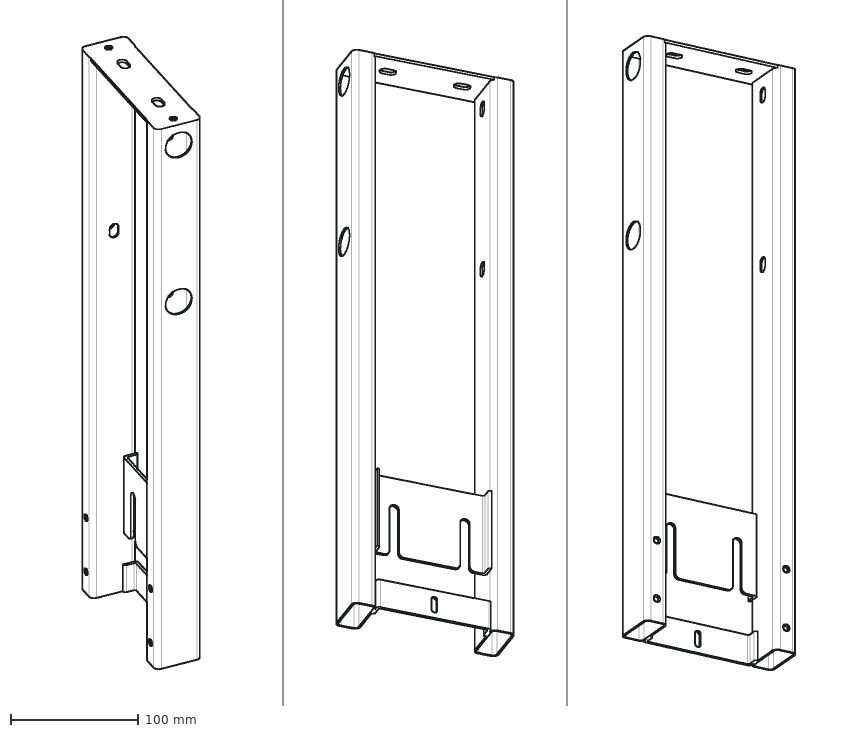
import cadquery as cq

FRAME_WIDTH = 137.0
FRAME_DEPTH = 40.0
FRAME_HEIGHT = 500.0

TUBE_WIDTH = 20.0
TUBE_WALL = 1.5
TUBE_CORNER_RADIUS = 4.5
TUBE_CENTER_X = (FRAME_WIDTH - TUBE_WIDTH) / 2
GAP = FRAME_WIDTH - 2 * TUBE_WIDTH

SIDE_SLOT_HEIGHTS = (336.0, 481.0)
SIDE_SLOT_LENGTH = 12.5
SLOT_WIDTH = 8.0
ACCESS_DIAMETER = 23.0

SCREW_HOLE_DIAMETER = 4.0
COUNTERSINK_DIAMETER = 6.0
COUNTERSINK_ANGLE = 90
FRONT_HOLE_HEIGHTS = (20.0, 70.0)

PLATE_THICKNESS = 2.5
PLATE_DEPTH = 39.0
PLATE_SLOT_X = 31.5
PLATE_SLOT_LENGTH = 13.5

SHEET = 2.5
OUTER_BEND_RADIUS = 2.5
INNER_BEND_RADIUS = 1.5
FLANGE_TIP_RADIUS = 2.0
BRACKET_FRONT_Y = 7.5
BRACKET_BACK_Y = FRAME_DEPTH / 2
BRACKET_DEPTH = BRACKET_BACK_Y - BRACKET_FRONT_Y
BRACKET_CENTER_Y = (BRACKET_BACK_Y + BRACKET_FRONT_Y) / 2

LOWER_TOP_Z = 25.0
LOWER_SLOT_WIDTH = 5.0
LOWER_SLOT_LENGTH = 14.0
LOWER_SLOT_Z = 12.0

UPPER_BOTTOM_Z = 55.0
UPPER_TOP_Z = 125.0
UPPER_SLOT_X = 30.0
UPPER_SLOT_TOP_Z = 101.0
UPPER_SLOT_MOUTH_RADIUS = 4.0


def upright(side):
    """Hollow tube; side is -1 for the -X upright and +1 for the +X upright."""
    center_x = side * TUBE_CENTER_X
    outer = (
        cq.Workplane("XY")
        .center(center_x, 0)
        .rect(TUBE_WIDTH, FRAME_DEPTH)
        .extrude(FRAME_HEIGHT)
        .edges("|Z")
        .fillet(TUBE_CORNER_RADIUS)
    )
    bore = (
        cq.Workplane("XY")
        .center(center_x, 0)
        .rect(TUBE_WIDTH - 2 * TUBE_WALL, FRAME_DEPTH - 2 * TUBE_WALL)
        .extrude(FRAME_HEIGHT)
        .edges("|Z")
        .fillet(TUBE_CORNER_RADIUS - TUBE_WALL)
    )
    side_points = [(0, z) for z in SIDE_SLOT_HEIGHTS]
    access_holes = (
        cq.Workplane("YZ", origin=(center_x, 0, 0))
        .pushPoints(side_points)
        .circle(ACCESS_DIAMETER / 2)
        .extrude(side * TUBE_WIDTH / 2)
    )
    slots = (
        cq.Workplane("YZ", origin=(center_x, 0, 0))
        .pushPoints(side_points)
        .slot2D(SIDE_SLOT_LENGTH, SLOT_WIDTH, 90)
        .extrude(-side * TUBE_WIDTH / 2)
    )
    return (
        outer.cut(bore)
        .cut(access_holes)
        .cut(slots)
        .faces("<Y")
        .workplane(origin=(0, -FRAME_DEPTH / 2, 0))
        .pushPoints([(center_x, z) for z in FRONT_HOLE_HEIGHTS])
        .cskHole(SCREW_HOLE_DIAMETER, COUNTERSINK_DIAMETER, COUNTERSINK_ANGLE, depth=FRAME_DEPTH / 2)
    )


def top_plate():
    """Plate closing the tube ends flush with the top of the frame."""
    return (
        cq.Workplane("XY", origin=(0, 0, FRAME_HEIGHT - PLATE_THICKNESS))
        .rect(FRAME_WIDTH, PLATE_DEPTH)
        .extrude(PLATE_THICKNESS)
        .edges("|Z")
        .fillet(TUBE_CORNER_RADIUS)
        .faces(">Z")
        .workplane(origin=(0, 0, FRAME_HEIGHT))
        .pushPoints([(-PLATE_SLOT_X, 0), (PLATE_SLOT_X, 0)])
        .slot2D(PLATE_SLOT_LENGTH, SLOT_WIDTH)
        .cutThruAll()
        .pushPoints([(-TUBE_CENTER_X, 0), (TUBE_CENTER_X, 0)])
        .cskHole(SCREW_HOLE_DIAMETER, COUNTERSINK_DIAMETER, COUNTERSINK_ANGLE)
    )


def folded_channel(bottom_z, top_z, web_side, tip_side):
    """U-shaped sheet spanning the gap.

    web_side and tip_side are opposite Y face selectors (">Y" or "<Y"): the web lies on the first
    and the flanges end on the second, with their inner corners rounded.
    """
    inward = -1 if web_side == ">Y" else 1
    blank = (
        cq.Workplane("XY", origin=(0, BRACKET_CENTER_Y, bottom_z))
        .rect(GAP, BRACKET_DEPTH)
        .extrude(top_z - bottom_z)
        .faces(web_side)
        .edges("|Z")
        .fillet(OUTER_BEND_RADIUS)
    )
    hollow = (
        cq.Workplane("XY", origin=(0, BRACKET_CENTER_Y + inward * SHEET, bottom_z))
        .rect(GAP - 2 * SHEET, BRACKET_DEPTH)
        .extrude(top_z - bottom_z)
        .faces(web_side)
        .edges("|Z")
        .fillet(INNER_BEND_RADIUS)
    )
    inner_tip_edges = cq.selectors.BoxSelector(
        (-GAP / 2 + SHEET / 2, -FRAME_DEPTH, bottom_z),
        (GAP / 2 - SHEET / 2, FRAME_DEPTH, top_z),
    )
    return blank.cut(hollow).faces(tip_side).edges("|Z").edges(inner_tip_edges).fillet(FLANGE_TIP_RADIUS)


def lower_bracket():
    """Channel with its web at the back and one upright slot."""
    slot = (
        cq.Workplane("XZ")
        .center(0, LOWER_SLOT_Z)
        .slot2D(LOWER_SLOT_LENGTH, LOWER_SLOT_WIDTH, 90)
        .extrude(-FRAME_DEPTH)
    )
    return folded_channel(0, LOWER_TOP_Z, ">Y", "<Y").cut(slot)


def hook_slot(center_x):
    """Slot with a round top, open at the lower edge with flared corners."""
    half = SLOT_WIDTH / 2
    flare = UPPER_SLOT_MOUTH_RADIUS
    shoulder_z = UPPER_SLOT_TOP_Z - half
    flare_z = UPPER_BOTTOM_Z + flare
    return (
        cq.Workplane("XZ", origin=(center_x, 0, 0))
        .moveTo(-half - flare, UPPER_BOTTOM_Z)
        .radiusArc((-half, flare_z), -flare)
        .lineTo(-half, shoulder_z)
        .threePointArc((0, UPPER_SLOT_TOP_Z), (half, shoulder_z))
        .lineTo(half, flare_z)
        .radiusArc((half + flare, UPPER_BOTTOM_Z), -flare)
        .close()
        .extrude(-FRAME_DEPTH)
    )


def upper_bracket():
    """Channel with its web toward the front and two hook slots."""
    bracket = folded_channel(UPPER_BOTTOM_Z, UPPER_TOP_Z, "<Y", ">Y")
    for center_x in (-UPPER_SLOT_X, UPPER_SLOT_X):
        bracket = bracket.cut(hook_slot(center_x))
    return bracket


result = (
    upright(-1)
    .union(upright(1))
    .union(top_plate())
    .union(lower_bracket())
    .union(upper_bracket())
    .clean()
)